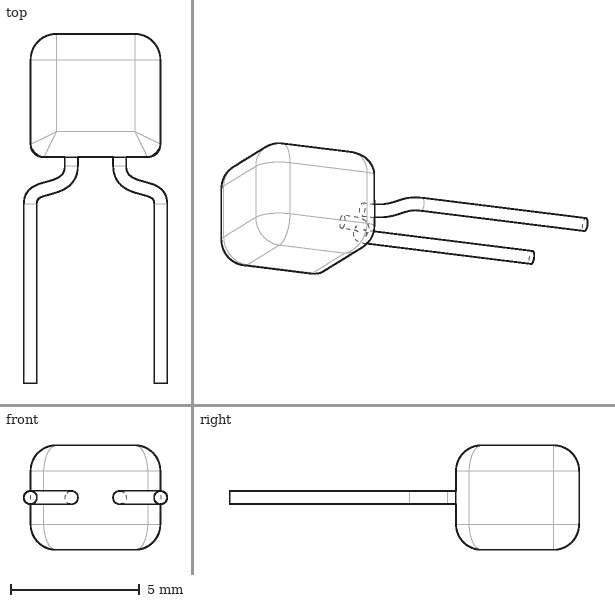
import cadquery as cq

body_width = 5.06
body_height = 4.08
body_length = 4.8
large_radius = 1.0
small_radius = large_radius / 2

overall_length = 13.6
lead_diameter = 0.52
inner_pitch = 1.88
outer_pitch = 5.07
lead_exit_length = 0.33
bend_length = 1.48
bend_middle_out = 0.83
bend_middle_down = 0.85
lead_tip_y = body_length - overall_length


def make_body():
    """Rounded block with a tighter radius on the two upright edges of the lead face."""
    block = cq.Workplane("XY").box(
        body_width, body_length, body_height, centered=(True, False, True)
    )
    rear_rounded = block.edges("|Z and >Y").fillet(large_radius)
    rounded = rear_rounded.faces("<Z or >Z").edges().fillet(large_radius)
    return rounded.edges("|Z and <Y").fillet(small_radius)


def make_lead(side):
    """Wire that leaves the body, swings outwards in an S-bend and runs straight to its tip."""
    inner_x = side * inner_pitch / 2
    outer_x = side * outer_pitch / 2
    bend_start = (inner_x, -lead_exit_length)
    bend_middle = (inner_x + side * bend_middle_out, -lead_exit_length - bend_middle_down)
    bend_end = (outer_x, -lead_exit_length - bend_length)
    toward_tip = (0, -1)
    path = (
        cq.Workplane("XY")
        .moveTo(inner_x, 0)
        .lineTo(*bend_start)
        .spline(
            [bend_middle, bend_end],
            tangents=[toward_tip, toward_tip],
            includeCurrent=True,
        )
        .lineTo(outer_x, lead_tip_y)
    )
    return cq.Workplane("XZ", origin=(inner_x, 0, 0)).circle(lead_diameter / 2).sweep(path)


body = make_body()
leads = [make_lead(side) for side in (-1, 1)]

result = cq.Compound.makeCompound([body.val(), *[lead.val() for lead in leads]])